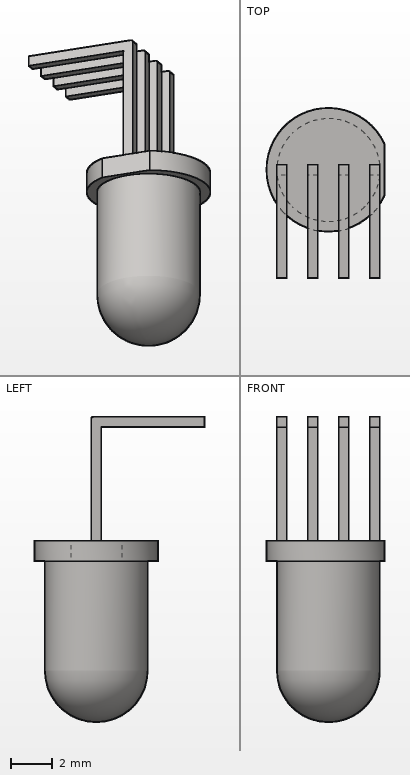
import cadquery as cq
import math

flange_radius = 3.0
flange_height = 1.0
flat_distance = 2.73
body_radius = 2.5
body_length = 5.3

lead_count = 4
lead_pitch = 1.5
lead_size = 0.5
lead_rise = 6.0
lead_reach = 5.5
bend_fillet = 0.1


def make_flange():
    """Round flange with one flat cut on the +X side."""
    disc = cq.Workplane("XY").circle(flange_radius).extrude(-flange_height)
    keep_box = (
        cq.Workplane("XY")
        .box(flange_radius + flat_distance, 2 * flange_radius, flange_height, centered=(False, True, False))
        .translate((-flange_radius, 0, -flange_height))
    )
    return disc.intersect(keep_box)


def make_body():
    """Cylinder ending in a hemispherical dome, revolved about Z."""
    dome_center = -flange_height - body_length
    dome_mid = body_radius * math.sqrt(0.5)
    return (
        cq.Workplane("XZ")
        .moveTo(0, -flange_height)
        .lineTo(body_radius, -flange_height)
        .lineTo(body_radius, dome_center)
        .threePointArc((dome_mid, dome_center - dome_mid), (0, dome_center - body_radius))
        .close()
        .revolve(360, (0, 0), (0, 1))
    )


def make_lead(x_center):
    """Square lead: an upright leg centered on Y = 0, bent toward -Y at the top, its outer corner rounded."""
    back = lead_size / 2
    tip = back - lead_reach
    return (
        cq.Workplane("YZ", origin=(x_center - lead_size / 2, 0, 0))
        .polyline([
            (back, 0),
            (back, lead_rise),
            (tip, lead_rise),
            (tip, lead_rise - lead_size),
            (-back, lead_rise - lead_size),
            (-back, 0),
        ])
        .close()
        .extrude(lead_size)
        .edges(">Z and >Y")
        .fillet(bend_fillet)
    )


result = make_flange().union(make_body())
for index in range(lead_count):
    lead_x = (index - (lead_count - 1) / 2) * lead_pitch
    result = result.union(make_lead(lead_x))